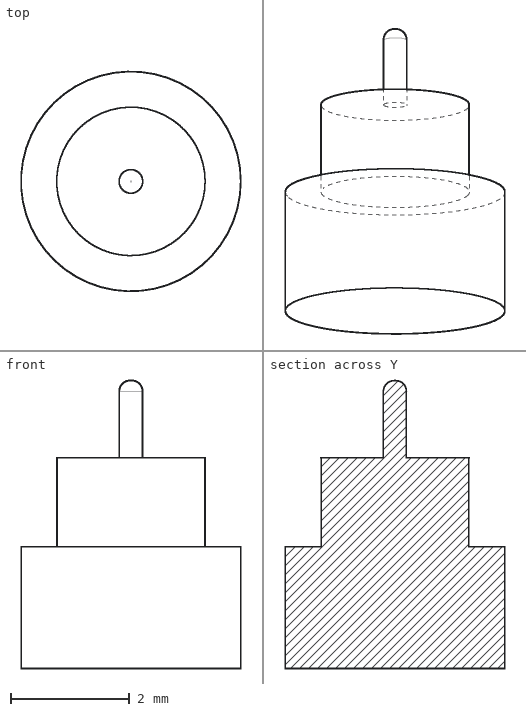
import cadquery as cq

total_height = 4.85
base_diameter = 3.7
base_height = 2.05
collar_diameter = 2.5
collar_height = 1.5
pin_diameter = 0.4
tip_round = 0.19

collar_top = base_height + collar_height
pin_height = total_height - collar_top

base = cq.Workplane("XY").circle(base_diameter / 2).extrude(base_height)
collar = (
    cq.Workplane("XY")
    .workplane(offset=base_height)
    .circle(collar_diameter / 2)
    .extrude(collar_height)
)

pin = (
    cq.Workplane("XY")
    .workplane(offset=collar_top)
    .circle(pin_diameter / 2)
    .extrude(pin_height)
    .faces(">Z")
    .edges()
    .fillet(tip_round)
)

result = base.union(collar).union(pin)